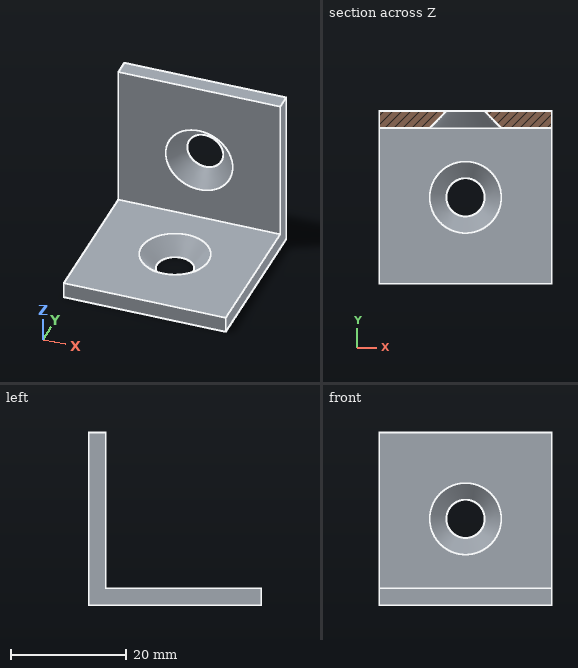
import cadquery as cq

side = 30.0
thickness = 3.0
hole_diameter = 6.6
sink_diameter = 12.42
hole_center = side / 2


def conical_hole(origin, direction):
    """Cone frustum that starts wide at origin and narrows along direction."""
    return cq.Workplane(
        cq.Solid.makeCone(
            sink_diameter / 2, hole_diameter / 2, thickness, cq.Vector(*origin), cq.Vector(*direction)
        )
    )


base = cq.Workplane().box(side, side, thickness, centered=False)
upright = cq.Workplane().box(side, thickness, side, centered=False).translate((0, side - thickness, 0))
bracket = base.union(upright)

base_hole = conical_hole((hole_center, hole_center, thickness), (0, 0, -1))
upright_hole = conical_hole((hole_center, side - thickness, hole_center), (0, 1, 0))

result = bracket.cut(base_hole).cut(upright_hole)